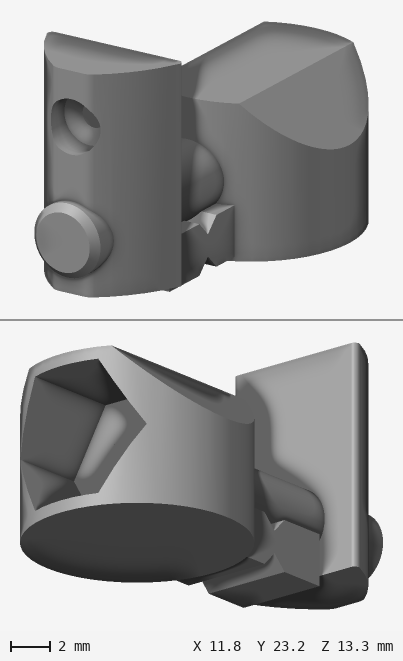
import cadquery as cq
import math

BARREL_DIAMETER = 11.8
BARREL_HEIGHT = 8.5
BARREL_TOP_WIDTH = 5.38
SOCKET_ACROSS_FLATS = 7.2
SOCKET_FLOOR_Y = 0.0

TONGUE_WIDTH = 4.99
TONGUE_BOTTOM = 0.23
TONGUE_TOP = 3.02
TONGUE_END_Y = -11.32
NOTCH_Y = -7.8
NOTCH_DEPTH = 0.8

OVERALL_LENGTH = 23.2
PIN_DIAMETER = 4.0
PIN_CHAMFER = 0.4

CLAMP_BACK_Y = -12.32
CLAMP_THICKNESS = 4.2
CLAMP_HEIGHT = 12.0
OVERALL_HEIGHT = 13.25
CLAMP_BACK_HALF_WIDTH = 4.2
CLAMP_FRONT_HALF_WIDTH = 1.0
FLANK_START_X = 3.9
FLANK_START_DEPTH = 0.55
FLANK_MID_X = 2.88
FLANK_MID_DEPTH = 2.35
BACK_CORNER_RADIUS = 0.28
FRONT_CORNER_RADIUS = 0.81

DIMPLE_DIAMETER = 3.0
DIMPLE_FLOOR_DIAMETER = 1.4
DIMPLE_STRAIGHT_DEPTH = 1.62
DIMPLE_CONE_ANGLE = 120.0
DIMPLE_ABOVE_PIN = 5.99

BARREL_RADIUS = BARREL_DIAMETER / 2
PIN_Z = BARREL_HEIGHT / 2
PIN_END_Y = BARREL_RADIUS - OVERALL_LENGTH
CLAMP_FRONT_Y = CLAMP_BACK_Y - CLAMP_THICKNESS
CLAMP_BOTTOM = OVERALL_HEIGHT - CLAMP_HEIGHT


def y_plane(y, z):
    """Plane facing -Y, with its origin on the YZ symmetry plane."""
    return cq.Workplane(cq.Plane(origin=(0, y, z), xDir=(1, 0, 0), normal=(0, -1, 0)))


def make_pin_shaft():
    length = SOCKET_FLOOR_Y - PIN_END_Y
    return y_plane(SOCKET_FLOOR_Y, PIN_Z).circle(PIN_DIAMETER / 2).extrude(length)


def make_tongue():
    """Notched plate that runs from the barrel axis to its free end."""
    points = [
        (0, TONGUE_BOTTOM),
        (NOTCH_Y + NOTCH_DEPTH, TONGUE_BOTTOM),
        (NOTCH_Y, TONGUE_BOTTOM + NOTCH_DEPTH),
        (NOTCH_Y - NOTCH_DEPTH, TONGUE_BOTTOM),
        (TONGUE_END_Y, TONGUE_BOTTOM),
        (TONGUE_END_Y, TONGUE_TOP),
        (NOTCH_Y - NOTCH_DEPTH, TONGUE_TOP),
        (NOTCH_Y, TONGUE_TOP - NOTCH_DEPTH),
        (NOTCH_Y + NOTCH_DEPTH, TONGUE_TOP),
        (0, TONGUE_TOP),
    ]
    return cq.Workplane("YZ").polyline(points).close().extrude(TONGUE_WIDTH / 2, both=True)


def make_barrel():
    """Bevelled cylinder with its tongue, bored for the pin and socketed at the rear."""
    half_top = BARREL_TOP_WIDTH / 2
    bevel = BARREL_RADIUS - half_top
    bevel_start = BARREL_HEIGHT - bevel
    roof = (
        cq.Workplane("XZ")
        .polyline([
            (-BARREL_RADIUS, 0),
            (BARREL_RADIUS, 0),
            (BARREL_RADIUS, bevel_start),
            (half_top, BARREL_HEIGHT),
            (-half_top, BARREL_HEIGHT),
            (-BARREL_RADIUS, bevel_start),
        ])
        .close()
        .extrude(BARREL_RADIUS, both=True)
    )
    cylinder = cq.Workplane("XY").circle(BARREL_RADIUS).extrude(BARREL_HEIGHT)
    across_corners = SOCKET_ACROSS_FLATS / math.cos(math.pi / 6)
    socket = (
        y_plane(BARREL_RADIUS, PIN_Z)
        .polygon(6, across_corners)
        .extrude(BARREL_RADIUS - SOCKET_FLOOR_Y)
    )
    body = cylinder.intersect(roof).cut(socket)
    return body.union(make_tongue().cut(socket)).cut(make_pin_shaft())


def make_pin():
    return make_pin_shaft().faces("<Y").chamfer(PIN_CHAMFER)


def make_dimple():
    """Tool body for the blind hole in the clamp front, turned about its own axis."""
    radius = DIMPLE_DIAMETER / 2
    floor_radius = DIMPLE_FLOOR_DIAMETER / 2
    cone_start = CLAMP_FRONT_Y + DIMPLE_STRAIGHT_DEPTH
    cone_depth = (radius - floor_radius) / math.tan(math.radians(DIMPLE_CONE_ANGLE / 2))
    floor_y = cone_start + cone_depth
    return (
        cq.Workplane("XY", origin=(0, 0, PIN_Z + DIMPLE_ABOVE_PIN))
        .moveTo(0, CLAMP_FRONT_Y)
        .lineTo(radius, CLAMP_FRONT_Y)
        .lineTo(radius, cone_start)
        .lineTo(floor_radius, floor_y)
        .lineTo(0, floor_y)
        .close()
        .revolve(360, (0, 0, 0), (0, 1, 0))
    )


def make_clamp():
    """Prism with curved flanks and rounded corners, bored for the pin."""
    start_y = CLAMP_BACK_Y - FLANK_START_DEPTH
    mid_y = CLAMP_BACK_Y - FLANK_MID_DEPTH
    prism = (
        cq.Workplane("XY", origin=(0, 0, CLAMP_BOTTOM))
        .moveTo(-CLAMP_BACK_HALF_WIDTH, CLAMP_BACK_Y)
        .lineTo(CLAMP_BACK_HALF_WIDTH, CLAMP_BACK_Y)
        .lineTo(FLANK_START_X, start_y)
        .threePointArc((FLANK_MID_X, mid_y), (CLAMP_FRONT_HALF_WIDTH, CLAMP_FRONT_Y))
        .lineTo(-CLAMP_FRONT_HALF_WIDTH, CLAMP_FRONT_Y)
        .threePointArc((-FLANK_MID_X, mid_y), (-FLANK_START_X, start_y))
        .close()
        .extrude(CLAMP_HEIGHT)
    )
    rounded = (
        prism
        .faces(">Y").edges("|Z").fillet(BACK_CORNER_RADIUS)
        .faces("<Y").edges("|Z").fillet(FRONT_CORNER_RADIUS)
    )
    return rounded.cut(make_pin_shaft()).cut(make_dimple())


barrel = make_barrel()
pin = make_pin()
clamp = make_clamp()

result = cq.Compound.makeCompound([barrel.solids().val(), pin.solids().val(), clamp.solids().val()])